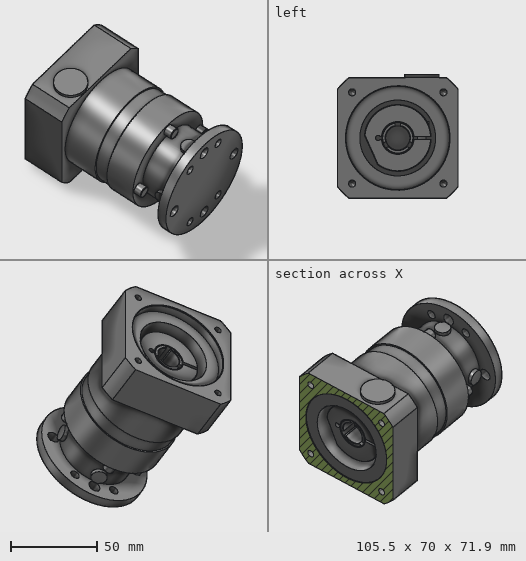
import cadquery as cq
import math

total_length = 105.5
block_end = 27.5
rear_body_end = 50.0
neck_end = 58.9
front_body_end = 78.3
hub_end = 99.5

block_width = 70.0
block_corner_dia = 90.0
mount_hole_dia = 4.1
mount_hole_spacing = 53.0
mount_hole_depth = 10.5
drill_point_angle = 118.0

rear_body_dia = 63.9
neck_dia = 62.0
front_body_dia = 64.0
hub_dia = 46.0
output_flange_dia = block_width

pilot_dia = 60.0
pilot_depth = 5.7
recess_dia = 44.0
recess_depth = 25.3
pilot_chamfer = 0.3

clamp_dia = 38.7
clamp_face = 11.1
clamp_chamfer = 0.3
clamp_flat_distance = 17.0
clamp_flat_angle = -24.2
slit_width = 1.9
relief_hole_dia = 3.0
relief_hole_y = 11.4

sleeve_bore_dia = 14.0
sleeve_dia = 18.1
sleeve_slot_width = 3.3
sleeve_slot_angles = (0, 120, 240)
sleeve_chamfer = 0.3
clamp_bore_chamfer = 0.4
shaft_bore_end = 26.4

screw_x = 17.0
screw_y = -14.0
clamp_screw_dia = 5.0
clamp_head_dia = 8.3
clamp_head_top = 9.5
clamp_head_height = 5.0
access_plug_dia = 20.0
access_plug_height = 1.9

housing_screw_dia = 7.0
housing_screw_height = 5.2
housing_screw_radius = 27.6
housing_screw_chamfer = 0.3
hub_plug_dia = 9.5
hub_plug_x = 94.0
hub_plug_top = 25.1
hub_plug_embed = 2.1
flange_hole_radius = 27.3
small_hole_offset_angle = 28.0
large_hole_dia = 7.2
small_hole_dia = 5.5
quarter_turns = (0, 90, 180, 270)


def axial_cylinder(diameter, start, end):
    """Cylinder along X, centred on the gearhead axis."""
    return cq.Workplane("YZ", origin=(start, 0, 0)).circle(diameter / 2).extrude(end - start)


def clamp_block(y, z, width, height):
    """Box centred at (y, z) that runs the length of the clamp ring."""
    return (
        cq.Workplane("YZ", origin=(clamp_face, 0, 0))
        .center(y, z)
        .rect(width, height)
        .extrude(recess_depth - clamp_face)
    )


def around_axis(shape, angle):
    """Turn a shape about the gearhead axis."""
    return shape.rotate((0, 0, 0), (1, 0, 0), angle)


def housing():
    block = cq.Workplane("YZ").rect(block_width, block_width).extrude(block_end)
    block = block.intersect(axial_cylinder(block_corner_dia, 0, block_end))
    return (
        block.union(axial_cylinder(rear_body_dia, block_end, rear_body_end))
        .union(axial_cylinder(neck_dia, rear_body_end, neck_end))
        .union(axial_cylinder(front_body_dia, neck_end, front_body_end))
        .union(axial_cylinder(hub_dia, front_body_end, hub_end))
        .union(axial_cylinder(output_flange_dia, hub_end, total_length))
    )


def motor_recess():
    """Stepped recess: chamfered motor pilot, then the clamp ring pocket."""
    pilot = axial_cylinder(pilot_dia, 0, pilot_depth)
    lead_in = (
        axial_cylinder(pilot_dia + 2 * pilot_chamfer, 0, 2 * pilot_chamfer)
        .faces(">X").chamfer(pilot_chamfer)
    )
    return pilot.union(lead_in).union(axial_cylinder(recess_dia, 0, recess_depth))


def mount_holes():
    """Blind drilled holes in the corners of the motor face."""
    radius = mount_hole_dia / 2
    point_depth = radius / math.tan(math.radians(drill_point_angle / 2))
    drill = (
        cq.Workplane("XY")
        .polyline([(0, 0), (0, radius), (mount_hole_depth, radius), (mount_hole_depth + point_depth, 0)])
        .close()
        .revolve(360, (0, 0, 0), (1, 0, 0))
    )
    offset = mount_hole_spacing / 2
    holes = cq.Workplane("XY")
    for y in (-offset, offset):
        for z in (-offset, offset):
            holes = holes.union(drill.translate((0, y, z)))
    return holes


def clamp_ring():
    ring = axial_cylinder(clamp_dia, clamp_face, recess_depth)
    flat = clamp_block(clamp_flat_distance + clamp_dia / 2, 0, clamp_dia, clamp_dia)
    ring = ring.cut(around_axis(flat, clamp_flat_angle))
    ring = ring.faces("<X").chamfer(clamp_chamfer)
    slit_length = relief_hole_y + clamp_dia / 2
    slit = clamp_block(relief_hole_y - slit_length / 2, 0, slit_length, slit_width)
    relief = axial_cylinder(relief_hole_dia, clamp_face, recess_depth).translate((0, relief_hole_y, 0))
    bore = axial_cylinder(sleeve_dia, clamp_face, recess_depth)
    bore_edge = cq.selectors.RadiusNthSelector(0)
    ring = ring.cut(bore).faces("<X").edges("%CIRCLE").edges(bore_edge)
    ring = ring.chamfer(clamp_bore_chamfer)
    return ring.cut(slit).cut(relief).union(clamp_screw())


def clamp_screw():
    """Screw across the slit, with its head sunk into the ring."""
    shank = (
        cq.Workplane("XY", origin=(screw_x, screw_y, -clamp_head_top))
        .circle(clamp_screw_dia / 2)
        .extrude(2 * clamp_head_top)
    )
    head = (
        cq.Workplane("XY", origin=(screw_x, screw_y, clamp_head_top - clamp_head_height))
        .circle(clamp_head_dia / 2)
        .extrude(clamp_head_height)
    )
    return shank.union(head)


def sleeve():
    """Slotted tube that fills the bore of the clamp ring."""
    tube = axial_cylinder(sleeve_dia, clamp_face, recess_depth)
    tube = tube.cut(axial_cylinder(sleeve_bore_dia, clamp_face, recess_depth))
    tube = tube.faces("<X").chamfer(sleeve_chamfer)
    slot = clamp_block(0, sleeve_dia / 2, sleeve_slot_width, sleeve_dia)
    for angle in sleeve_slot_angles:
        tube = tube.cut(around_axis(slot, angle))
    return tube


def access_plug():
    return (
        cq.Workplane("XY", origin=(screw_x, screw_y, block_width / 2))
        .circle(access_plug_dia / 2)
        .extrude(access_plug_height)
    )


def housing_screw():
    return (
        axial_cylinder(housing_screw_dia, front_body_end, front_body_end + housing_screw_height)
        .faces(">X").chamfer(housing_screw_chamfer)
        .translate((0, 0, housing_screw_radius))
    )


def hub_plug():
    base = hub_dia / 2 - hub_plug_embed
    return (
        cq.Workplane("XY", origin=(hub_plug_x, 0, base))
        .circle(hub_plug_dia / 2)
        .extrude(hub_plug_top - base)
    )


def flange_hole(diameter):
    return axial_cylinder(diameter, hub_end, total_length).translate((0, 0, flange_hole_radius))


result = housing().cut(motor_recess()).cut(mount_holes())
result = result.cut(axial_cylinder(sleeve_bore_dia, recess_depth, shaft_bore_end))
result = result.union(clamp_ring()).union(sleeve()).union(access_plug())
for angle in quarter_turns:
    result = result.union(around_axis(housing_screw(), angle))
    result = result.union(around_axis(hub_plug(), angle))
    result = result.cut(around_axis(flange_hole(large_hole_dia), angle))
for angle in (small_hole_offset_angle, -small_hole_offset_angle):
    for half_turn in (0, 180):
        result = result.cut(around_axis(flange_hole(small_hole_dia), angle + half_turn))